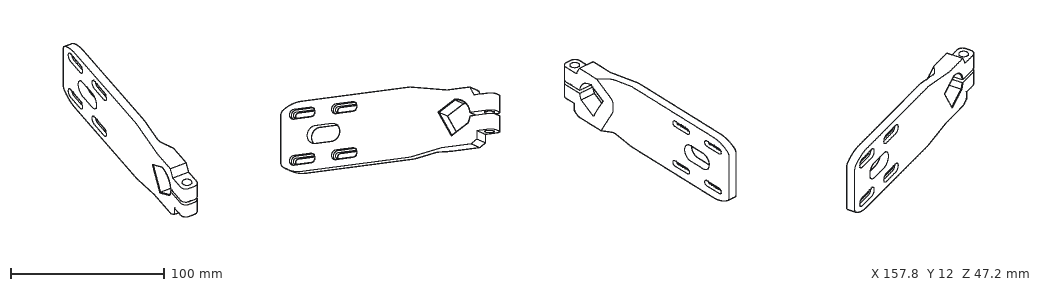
import cadquery as cq
import math


LENGTH = 157.8
PLATE_THICKNESS = 6.2
HEAD_THICKNESS = 12.0
WIDTH = 47.2
HALF_WIDTH = WIDTH / 2

TAIL_CENTRE_X = 15.5
TAIL_CORNER_RADIUS = 4.0

TAPER_START_X = 95.9
HEAD_TOP_Z = 18.3
HEAD_BOTTOM_Z = -20.0
TOP_TAPER_END_X = 123.5
BOTTOM_TAPER_END_X = 119.5
TOP_SHOULDER_X = 140.4
TOP_ARM_ROOT_X = 143.5
ARM_TOP_Z = 12.6
BOTTOM_SHOULDER_X = 141.4
BOTTOM_ARM_ROOT_X = 145.6
BOTTOM_SHOULDER_Z = -17.4
ARM_BOTTOM_Z = -11.7
ARM_END_RADIUS = 4.0

RAMP_ANGLE = 45.0
RAMP_OFFSET = 18.8
RAMP_NOSE_OFFSET = 22.0
RAMP_CORNER_RADIUS = 7.0
RAMP_BASE_RADIUS = 4.0

BORE_X = 129.4
BORE_RADIUS = 10.9
BORE_TILT = 30.0
BORE_HALF_WIDTH = 9.5
BORE_FLAT_OFFSET = 8.4
BORE_CHAMFER = 0.5
BORE_CHAMFER_ANGLE = 45.0
SLIT_WIDTH = 2.4

SCREW_DIAMETER = 6.3
SCREW_END_DISTANCE = HEAD_THICKNESS / 2

SLOT_FIRST_X = 16.0
SLOT_SPACING_X = 31.2
SLOT_Z = 15.5
SLOT_LENGTH = 18.8
SLOT_WIDTH = 6.6
SLOT_RECESS_DEPTH = 2.5
SLOT_STEP = 1.3
SLOT_SEAT_ANGLE = 70.0
WINDOW_X = 31.7
WINDOW_LENGTH = 24.1
WINDOW_WIDTH = 12.0

STOCK_SIZE = 631.0
RAMP_REACH = 94.7
SELECT_MARGIN = 0.2


def sketch_plane(y):
    """XZ workplane at depth y; its normal is -Y, so negative lengths extrude toward +Y."""
    return cq.Workplane("XZ", origin=(0, y, 0))


def polar_point(centre, along, across, angle):
    """Point at (along, across) in axes turned by angle degrees about centre."""
    turn = math.radians(angle)
    return (
        centre[0] + along * math.cos(turn) - across * math.sin(turn),
        centre[1] + along * math.sin(turn) + across * math.cos(turn),
    )


def make_outline():
    """Full-height prism of the part outline."""
    tail_z = math.sqrt(HALF_WIDTH**2 - TAIL_CENTRE_X**2)
    tail_angle = math.atan2(tail_z, -TAIL_CENTRE_X)
    mid_angle = (tail_angle + math.pi / 2) / 2
    mid_x = TAIL_CENTRE_X + HALF_WIDTH * math.cos(mid_angle)
    mid_z = HALF_WIDTH * math.sin(mid_angle)
    prism = (
        sketch_plane(0)
        .moveTo(0, -tail_z)
        .lineTo(0, tail_z)
        .threePointArc((mid_x, mid_z), (TAIL_CENTRE_X, HALF_WIDTH))
        .lineTo(TAPER_START_X, HALF_WIDTH)
        .lineTo(TOP_TAPER_END_X, HEAD_TOP_Z)
        .lineTo(TOP_SHOULDER_X, HEAD_TOP_Z)
        .lineTo(TOP_ARM_ROOT_X, ARM_TOP_Z)
        .lineTo(LENGTH, ARM_TOP_Z)
        .lineTo(LENGTH, ARM_BOTTOM_Z)
        .lineTo(BOTTOM_ARM_ROOT_X, ARM_BOTTOM_Z)
        .lineTo(BOTTOM_ARM_ROOT_X, BOTTOM_SHOULDER_Z)
        .lineTo(BOTTOM_SHOULDER_X, HEAD_BOTTOM_Z)
        .lineTo(BOTTOM_TAPER_END_X, HEAD_BOTTOM_Z)
        .lineTo(TAPER_START_X, -HALF_WIDTH)
        .lineTo(TAIL_CENTRE_X, -HALF_WIDTH)
        .threePointArc((mid_x, -mid_z), (0, -tail_z))
        .close()
        .extrude(-HEAD_THICKNESS)
    )
    prism = prism.edges("|Y and <X").fillet(TAIL_CORNER_RADIUS)
    return prism.faces(">X").edges("|Z").fillet(ARM_END_RADIUS)


def make_ramped_stock():
    """Wide slab carrying the raised head, with rounded ramp corners and a blended ramp foot."""
    centre = (BORE_X, 0)
    turn = math.radians(BORE_TILT)
    rise = HEAD_THICKNESS - PLATE_THICKNESS
    spread = rise / math.tan(math.radians(RAMP_ANGLE))
    side_offset = RAMP_OFFSET + spread
    nose_offset = RAMP_NOSE_OFFSET + spread
    nose_x = BORE_X - nose_offset
    upper_z = (side_offset - nose_offset * math.sin(turn)) / math.cos(turn)
    lower_z = (nose_offset * math.cos(turn) - side_offset) / math.sin(turn)
    foot_points = [
        (nose_x, lower_z),
        (nose_x, upper_z),
        polar_point(centre, RAMP_REACH, side_offset, BORE_TILT),
        polar_point(centre, RAMP_REACH, -RAMP_REACH, BORE_TILT),
        polar_point(centre, -side_offset, -RAMP_REACH, BORE_TILT),
    ]
    head = sketch_plane(PLATE_THICKNESS).polyline(foot_points).close().extrude(-rise, taper=RAMP_ANGLE)
    nose_corners = cq.selectors.BoxSelector(
        (nose_x, PLATE_THICKNESS, lower_z - spread),
        (nose_x + spread, HEAD_THICKNESS, upper_z + spread),
    )
    head = head.edges("not #Y").edges(nose_corners).fillet(RAMP_CORNER_RADIUS)
    slab = sketch_plane(0).rect(STOCK_SIZE, STOCK_SIZE).extrude(-PLATE_THICKNESS)
    foot_edges = cq.selectors.BoxSelector(
        (0, PLATE_THICKNESS - SELECT_MARGIN, -STOCK_SIZE / 2 + SELECT_MARGIN),
        (STOCK_SIZE / 2 - SELECT_MARGIN, PLATE_THICKNESS + SELECT_MARGIN, STOCK_SIZE / 2 - SELECT_MARGIN),
    )
    return slab.union(head).edges(foot_edges).fillet(RAMP_BASE_RADIUS)


def bore_profile(growth):
    """Bore outline on the front face, grown evenly outward."""
    centre = (BORE_X, 0)
    radius = BORE_RADIUS + growth
    half_width = BORE_HALF_WIDTH + growth
    back = -BORE_FLAT_OFFSET - growth
    arc_start = math.sqrt(radius**2 - half_width**2)
    return (
        sketch_plane(0)
        .moveTo(*polar_point(centre, arc_start, half_width, BORE_TILT))
        .lineTo(*polar_point(centre, back, half_width, BORE_TILT))
        .lineTo(*polar_point(centre, back, -half_width, BORE_TILT))
        .lineTo(*polar_point(centre, arc_start, -half_width, BORE_TILT))
        .threePointArc(
            polar_point(centre, radius, 0, BORE_TILT),
            polar_point(centre, arc_start, half_width, BORE_TILT),
        )
        .close()
    )


def cut_bore(body):
    """Chamfered clamp bore, then the slit that opens it toward the arm ends."""
    body = body.cut(bore_profile(0).extrude(-HEAD_THICKNESS))
    body = body.cut(bore_profile(BORE_CHAMFER).extrude(-BORE_CHAMFER, taper=BORE_CHAMFER_ANGLE))
    slit = sketch_plane(0).center((BORE_X + LENGTH) / 2, 0).rect(LENGTH - BORE_X, SLIT_WIDTH)
    return body.cut(slit.extrude(-HEAD_THICKNESS))


def cut_screw_hole(body):
    """Clamp screw hole through both arms."""
    screw = (
        cq.Workplane("XY", origin=(LENGTH - SCREW_END_DISTANCE, HEAD_THICKNESS / 2, -HALF_WIDTH))
        .circle(SCREW_DIAMETER / 2)
        .extrude(2 * HALF_WIDTH)
    )
    return body.cut(screw)


def make_mounting_slot(x, z):
    """Straight recess, sloped seat and narrower through slot."""
    seat_depth = SLOT_STEP / math.tan(math.radians(SLOT_SEAT_ANGLE))
    recess = sketch_plane(0).center(x, z).slot2D(SLOT_LENGTH, SLOT_WIDTH).extrude(-SLOT_RECESS_DEPTH)
    seat = (
        sketch_plane(SLOT_RECESS_DEPTH)
        .center(x, z)
        .slot2D(SLOT_LENGTH, SLOT_WIDTH)
        .extrude(-seat_depth, taper=SLOT_SEAT_ANGLE)
    )
    through = (
        sketch_plane(0)
        .center(x, z)
        .slot2D(SLOT_LENGTH - 2 * SLOT_STEP, SLOT_WIDTH - 2 * SLOT_STEP)
        .extrude(-PLATE_THICKNESS)
    )
    return recess.union(seat).union(through)


def cut_slots(body):
    """Two by two mounting slots and the window between them."""
    for x in (SLOT_FIRST_X, SLOT_FIRST_X + SLOT_SPACING_X):
        for z in (-SLOT_Z, SLOT_Z):
            body = body.cut(make_mounting_slot(x, z))
    window = sketch_plane(0).center(WINDOW_X, 0).slot2D(WINDOW_LENGTH, WINDOW_WIDTH)
    return body.cut(window.extrude(-PLATE_THICKNESS))


result = make_outline().intersect(make_ramped_stock())
result = cut_bore(result)
result = cut_screw_hole(result)
result = cut_slots(result)